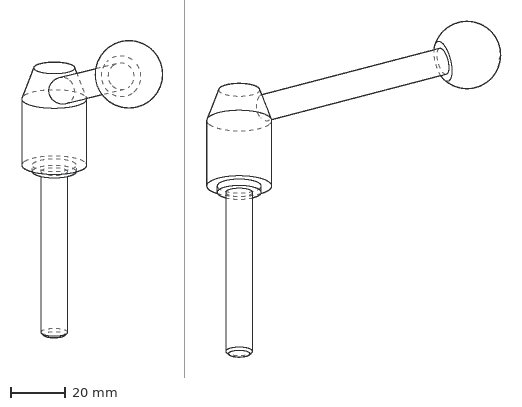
import cadquery as cq
import math

stud_diameter = 10.0
stud_chamfer = 1.0
collar_diameter = 16.3
collar_bottom = 62.9
hub_diameter = 24.0
hub_bottom = 65.4
hub_shoulder = 90.9
hub_top = 102.9
hub_top_diameter = 15.2

arm_diameter = 10.0
arm_angle = 20
ball_diameter = 25.0
ball_flat_diameter = 15.2
total_height = 138
ball_x = 88.3
ball_z = total_height - ball_diameter / 2


def make_stud_and_hub():
    """Revolve the stepped stud, collar and tapered hub about Z."""
    stud_radius = stud_diameter / 2
    profile = [
        (0, 0),
        (stud_radius - stud_chamfer, 0),
        (stud_radius, stud_chamfer),
        (stud_radius, collar_bottom),
        (collar_diameter / 2, collar_bottom),
        (collar_diameter / 2, hub_bottom),
        (hub_diameter / 2, hub_bottom),
        (hub_diameter / 2, hub_shoulder),
        (hub_top_diameter / 2, hub_top),
        (0, hub_top),
    ]
    return cq.Workplane("XZ").polyline(profile).close().revolve(360, (0, 0), (0, 1))


def make_arm_and_ball():
    """Build the arm and flat-faced ball along the inclined arm axis."""
    angle = math.radians(arm_angle)
    ball_center = cq.Vector(ball_x, 0, ball_z)
    toward_hub = cq.Vector(-math.cos(angle), 0, -math.sin(angle))
    ball_radius = ball_diameter / 2

    arm_length = ball_x / math.cos(angle)
    arm = cq.Solid.makeCylinder(arm_diameter / 2, arm_length, ball_center, toward_hub)

    flat_distance = math.sqrt(ball_radius**2 - (ball_flat_diameter / 2) ** 2)
    flat_center = ball_center + toward_hub * flat_distance
    cutter = cq.Solid.makeCylinder(ball_radius, ball_radius, flat_center, toward_hub)
    ball = cq.Workplane("XY").sphere(ball_radius).translate(ball_center)
    ball = ball.cut(cq.Workplane(obj=cutter))
    return ball.union(cq.Workplane(obj=arm))


result = make_stud_and_hub().union(make_arm_and_ball())